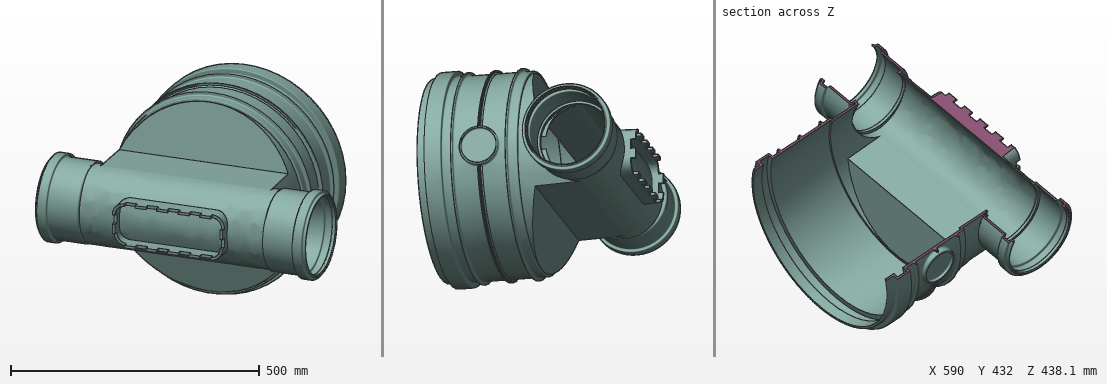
import cadquery as cq
import math


CLEARANCE = 1

BARREL_RADIUS = 416 / 2
BARREL_BORE_RADIUS = 404 / 2
BARREL_DEPTH = 208.5
BARREL_FLOOR = 4.5
BARREL_FILLET = 1.8
RIM_RADIUS = 415 / 2

COLLAR_RADIUS = 438.1 / 2
COLLAR_GROOVE_RADIUS = 427.1 / 2
COLLAR_START = 17.5
COLLAR_END = 52.5
COLLAR_WALL = COLLAR_RADIUS - COLLAR_GROOVE_RADIUS

RIB_RADIUS = 430 / 2
RIB_MIDDLE_Y = -130
RIB_PITCH = 56.5
RIB_WIDTH = 4
RIB_TIP_FILLET = 1.2
RIB_ROOT_FILLET = 3

BOSS_RADIUS = 40.5
BOSS_FILLET = 2
BOSS_ROOT_FILLET = 3
BOSS_RECESS_RADIUS = 36.5
BOSS_RECESS_DEPTH = 6
BOSS_RECESS_FILLET = 2.5
BOSS_FACE_X = -216
BOSS_ROOT_X = -203

NECK_BORE_RADIUS = 394.9 / 2
NECK_WALL = COLLAR_WALL
NECK_RADIUS = NECK_BORE_RADIUS + NECK_WALL
NECK_TOP_HALF_HEIGHT = 205
NECK_OVERLAP = 18
SHOULDER_DEPTH = 240
SHOULDER_HALF_HEIGHT = 85.5

CHANNEL_Y = -335
CHANNEL_HALF_HEIGHT = 83
CHANNEL_HALF_DEPTH = 74.5
CHANNEL_WALL = 4
CHANNEL_HALF_LENGTH = 202

SOCKET_END = 590 / 2
SOCKET_ROOT_X = 201
SOCKET_ROOT_FILLET = 3.5
SOCKET_FILLET = 1.7
SOCKET_WALL = 4.5
SOCKET_COLLAR_RADIUS = 182.8 / 2
SOCKET_GROOVE_RADIUS = 173.8 / 2
SOCKET_COLLAR_WIDTH = 21
SOCKET_LIP = 5.5
SOCKET_MOUTH_CHAMFER = 2
STOP_OVERLAP = 4
INLET_AXIS_Y = -330
INLET_RADIUS = 169.5 / 2
INLET_STOP_RADIUS = 150.2 / 2
OUTLET_AXIS_Y = -334.2
OUTLET_RADIUS = 169.8 / 2
OUTLET_STOP_RADIUS = 143.2 / 2

FOOT_END_Y = -432
FOOT_BURIED_Y = -390
FOOT_LENGTH = 240
FOOT_WIDTH = 94
FOOT_CORNER_RADIUS = 27
FOOT_WALL = 5.5
FOOT_DRAFT = 2
NOTCH_DEPTH = 10
SIDE_NOTCH_WIDTH = 23.5
SIDE_NOTCHES = 4
END_NOTCH_WIDTH = 20


def turned_about_y(profile):
    """Revolve a closed (radius, y) outline about the shaft axis."""
    return cq.Workplane("XY").polyline(profile).close().revolve(360, (0, 0), (0, 1))


def turned_about_x(profile):
    """Revolve a closed (x, radius) outline about the X axis."""
    return cq.Workplane("XY").polyline(profile).close().revolve(360, (0, 0), (1, 0))


def barrel():
    shape = turned_about_y([
        (0, 0),
        (RIM_RADIUS, 0),
        (RIM_RADIUS, -COLLAR_START),
        (COLLAR_RADIUS, -COLLAR_START),
        (COLLAR_RADIUS, -COLLAR_END),
        (BARREL_RADIUS, -COLLAR_END),
        (BARREL_RADIUS, -BARREL_DEPTH),
        (0, -BARREL_DEPTH),
    ])
    return shape.edges("%CIRCLE").fillet(BARREL_FILLET)


def barrel_bore():
    floor_y = -BARREL_DEPTH + BARREL_FLOOR
    groove_start = -COLLAR_START - COLLAR_WALL
    groove_end = -COLLAR_END + COLLAR_WALL
    return turned_about_y([
        (0, 0),
        (BARREL_BORE_RADIUS, 0),
        (BARREL_BORE_RADIUS, groove_start),
        (COLLAR_GROOVE_RADIUS, groove_start),
        (COLLAR_GROOVE_RADIUS, groove_end),
        (BARREL_BORE_RADIUS, groove_end),
        (BARREL_BORE_RADIUS, floor_y),
        (0, floor_y),
    ])


def rib(y):
    """Ring with a rounded crest and concave roots flaring into the barrel."""
    buried = (BARREL_RADIUS + BARREL_BORE_RADIUS) / 2
    half_width = RIB_WIDTH / 2
    foot = half_width + RIB_ROOT_FILLET
    root_top = BARREL_RADIUS + RIB_ROOT_FILLET
    arc_inset = RIB_ROOT_FILLET * (1 - math.sqrt(0.5))
    arc_radius = BARREL_RADIUS + arc_inset
    arc_offset = half_width + arc_inset
    profile = (
        cq.Workplane("XY")
        .moveTo(buried, y + foot)
        .lineTo(BARREL_RADIUS, y + foot)
        .threePointArc((arc_radius, y + arc_offset), (root_top, y + half_width))
        .lineTo(RIB_RADIUS, y + half_width)
        .lineTo(RIB_RADIUS, y - half_width)
        .lineTo(root_top, y - half_width)
        .threePointArc((arc_radius, y - arc_offset), (BARREL_RADIUS, y - foot))
        .lineTo(buried, y - foot)
        .close()
    )
    ring = profile.revolve(360, (0, 0), (0, 1))
    crest = cq.selectors.RadiusNthSelector(-1)
    return ring.edges(crest).fillet(RIB_TIP_FILLET)


def boss():
    disc = cq.Workplane("YZ", origin=(BOSS_FACE_X, RIB_MIDDLE_Y, 0))
    disc = disc.circle(BOSS_RADIUS).extrude(BOSS_ROOT_X - BOSS_FACE_X)
    return disc.edges("<X").fillet(BOSS_FILLET)


def boss_recess():
    recess = cq.Workplane("YZ", origin=(BOSS_FACE_X, RIB_MIDDLE_Y, 0))
    recess = recess.circle(BOSS_RECESS_RADIUS).extrude(BOSS_RECESS_DEPTH)
    return recess.edges(">X").fillet(BOSS_RECESS_FILLET)


def barrel_with_boss():
    """Barrel and boss joined, with a fillet along the curve where they meet."""
    joined = barrel().union(boss())
    reach = BOSS_RADIUS + CLEARANCE
    meeting_curve = cq.selectors.BoxSelector(
        (BOSS_FACE_X + BOSS_FILLET + CLEARANCE, RIB_MIDDLE_Y - reach, -reach),
        (BOSS_ROOT_X, RIB_MIDDLE_Y + reach, reach),
        boundingbox=True,
    )
    return joined.edges(meeting_curve).fillet(BOSS_ROOT_FILLET)


def neck(radius, inset):
    """Cylinder below the barrel, narrowed by sloping shoulders to two flats beside the channel."""
    start_y = -BARREL_DEPTH + NECK_OVERLAP
    outline = [
        (start_y, NECK_TOP_HALF_HEIGHT),
        (-BARREL_DEPTH, NECK_TOP_HALF_HEIGHT),
        (-SHOULDER_DEPTH, SHOULDER_HALF_HEIGHT),
        (CHANNEL_Y, CHANNEL_HALF_HEIGHT),
    ]
    mirrored = [(y, -z) for y, z in reversed(outline)]
    block = cq.Workplane("YZ").polyline(outline + mirrored).close()
    if inset:
        block = block.offset2D(-inset, "intersection")
    block = block.extrude(radius + CLEARANCE, both=True)
    cylinder = cq.Workplane("XZ").circle(radius).extrude(-CHANNEL_Y)
    return block.intersect(cylinder)


def channel(half_length, inset):
    section = cq.Workplane("YZ", origin=(-half_length, CHANNEL_Y, 0))
    section = section.ellipse(CHANNEL_HALF_DEPTH - inset, CHANNEL_HALF_HEIGHT - inset)
    return section.extrude(2 * half_length)


def socket(radius):
    """Outer shape of a socket along +X on the X axis."""
    collar_end = SOCKET_END - SOCKET_LIP
    collar_start = collar_end - SOCKET_COLLAR_WIDTH
    shape = turned_about_x([
        (SOCKET_ROOT_X, 0),
        (SOCKET_ROOT_X, radius),
        (collar_start, radius),
        (collar_start, SOCKET_COLLAR_RADIUS),
        (collar_end, SOCKET_COLLAR_RADIUS),
        (collar_end, radius),
        (SOCKET_END, radius),
        (SOCKET_END, 0),
    ])
    shape = shape.edges("<X").fillet(SOCKET_ROOT_FILLET)
    rings = cq.selectors.BoxSelector(
        (collar_start - CLEARANCE, -SOCKET_COLLAR_RADIUS, -SOCKET_COLLAR_RADIUS),
        (SOCKET_END + CLEARANCE, SOCKET_COLLAR_RADIUS, SOCKET_COLLAR_RADIUS),
    )
    return shape.edges(rings).edges("%CIRCLE").fillet(SOCKET_FILLET)


def socket_bore(radius, stop_radius):
    """Bore of a socket along +X on the X axis, with a stop ring at its root and a seal groove."""
    bore_radius = radius - SOCKET_WALL
    stop_x = SOCKET_ROOT_X + SOCKET_WALL
    groove_start = SOCKET_END - SOCKET_LIP - SOCKET_COLLAR_WIDTH
    groove_end = SOCKET_END - SOCKET_LIP - SOCKET_WALL
    shape = turned_about_x([
        (SOCKET_ROOT_X - STOP_OVERLAP, 0),
        (SOCKET_ROOT_X - STOP_OVERLAP, stop_radius),
        (stop_x, stop_radius),
        (stop_x, bore_radius),
        (groove_start, bore_radius),
        (groove_start, SOCKET_GROOVE_RADIUS),
        (groove_end, SOCKET_GROOVE_RADIUS),
        (groove_end, bore_radius),
        (SOCKET_END - SOCKET_MOUTH_CHAMFER, bore_radius),
        (SOCKET_END, bore_radius + SOCKET_MOUTH_CHAMFER),
        (SOCKET_END, 0),
    ])
    groove_rings = cq.selectors.BoxSelector(
        (groove_start - CLEARANCE, -SOCKET_GROOVE_RADIUS, -SOCKET_GROOVE_RADIUS),
        (groove_end + CLEARANCE, SOCKET_GROOVE_RADIUS, SOCKET_GROOVE_RADIUS),
    )
    return shape.edges(groove_rings).edges("%CIRCLE").fillet(SOCKET_FILLET)


def as_inlet(shape):
    return shape.mirror("YZ").translate((0, INLET_AXIS_Y, 0))


def as_outlet(shape):
    return shape.translate((0, OUTLET_AXIS_Y, 0))


def foot_block(inset, draft):
    """Rounded block rising from the foot end; a negative draft makes it wider towards the channel."""
    outline = cq.Sketch().rect(FOOT_WIDTH - 2 * inset, FOOT_LENGTH - 2 * inset)
    outline = outline.vertices().fillet(FOOT_CORNER_RADIUS - inset)
    base = cq.Workplane("ZX", origin=(0, FOOT_END_Y, 0)).placeSketch(outline)
    return base.extrude(FOOT_BURIED_Y - FOOT_END_Y, taper=draft)


def notch_box(x_min, x_max, z_min, z_max):
    size = (x_max - x_min, NOTCH_DEPTH, z_max - z_min)
    box = cq.Workplane("XY").box(*size, centered=False)
    return box.translate((x_min, FOOT_END_Y, z_min))


def foot_notches():
    """Notches of one half of the frame; the other half repeats them turned by 180 degrees about Y."""
    half_width = FOOT_WIDTH / 2 + FOOT_WALL
    half_length = FOOT_LENGTH / 2 + FOOT_WALL
    inner_x = FOOT_LENGTH / 2 - 2 * FOOT_WALL
    inner_z = FOOT_WIDTH / 2 - 2 * FOOT_WALL
    pitch = 2 * SIDE_NOTCH_WIDTH
    first_x = -SIDE_NOTCHES / 2 * pitch
    boxes = []
    for i in range(SIDE_NOTCHES):
        x = first_x + i * pitch
        boxes.append(notch_box(x, x + SIDE_NOTCH_WIDTH, inner_z, half_width))
    corner_x = first_x + SIDE_NOTCHES * pitch
    boxes.append(notch_box(corner_x, half_length, END_NOTCH_WIDTH, half_width))
    boxes.append(notch_box(inner_x, half_length, -END_NOTCH_WIDTH, 0))
    return boxes


def foot():
    frame = foot_block(0, -FOOT_DRAFT).cut(foot_block(FOOT_WALL, FOOT_DRAFT))
    for box in foot_notches():
        frame = frame.cut(box)
        frame = frame.cut(box.rotate((0, 0, 0), (0, 1, 0), 180))
    return frame


def outer_body():
    body = barrel_with_boss()
    for i in (-1, 0, 1):
        body = body.union(rib(RIB_MIDDLE_Y + i * RIB_PITCH))
    body = body.cut(boss_recess())
    body = body.union(neck(NECK_RADIUS, 0))
    body = body.union(channel(CHANNEL_HALF_LENGTH, 0))
    body = body.union(as_inlet(socket(INLET_RADIUS)))
    body = body.union(as_outlet(socket(OUTLET_RADIUS)))
    return body.union(foot())


def hollowed(body):
    body = body.cut(barrel_bore())
    body = body.cut(neck(NECK_BORE_RADIUS, NECK_WALL))
    body = body.cut(channel(SOCKET_ROOT_X - STOP_OVERLAP / 2, CHANNEL_WALL))
    body = body.cut(as_inlet(socket_bore(INLET_RADIUS, INLET_STOP_RADIUS)))
    return body.cut(as_outlet(socket_bore(OUTLET_RADIUS, OUTLET_STOP_RADIUS)))


result = hollowed(outer_body())